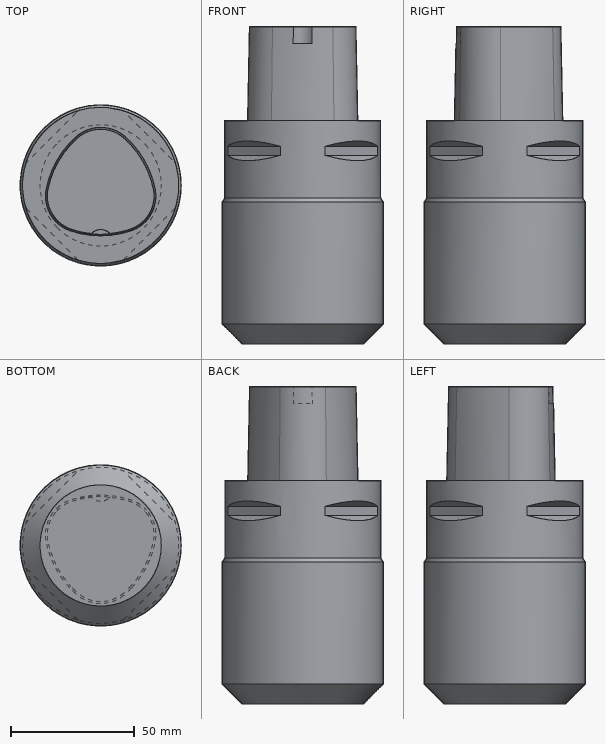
import cadquery as cq
import math

total_height = 128.0
shank_length = 37.9
collar_top = total_height - shank_length
collar_bottom = 59.0

body_radius = 32.5
collar_radius = 31.5
step_bevel_height = 1.8
bottom_chamfer = 8.0

lobe_reach = 23.4
flank_reach = 20.4
join_reach = 22.1
join_angle = 25.3
lobe_count = 3
lobe_pitch = 360 / lobe_count
taper_inset = 0.8

notch_radius = 5.1
notch_depth = 6.8
notch_floor_y = -17.8

slot_count = 4
slot_center_height = 78.0
slot_floor_height = 3.6
slot_depth = 3.78
slot_wall_angle = 30.0
slot_overrun = 1.3


def polar_point(radius, angle):
    return (radius * math.cos(math.radians(angle)), radius * math.sin(math.radians(angle)))


def make_body():
    """Round body with a bottom chamfer and a narrower collar."""
    profile = [
        (0, 0),
        (body_radius - bottom_chamfer, 0),
        (body_radius, bottom_chamfer),
        (body_radius, collar_bottom - step_bevel_height),
        (collar_radius, collar_bottom),
        (collar_radius, collar_top),
        (0, collar_top),
    ]
    return cq.Workplane("XZ").polyline(profile).close().revolve(360, (0, 0), (0, 1))


def draw_lobed_outline(plane, inset):
    """Alternate tight lobe arcs and wide flank arcs, with one lobe toward +Y."""
    lobe = lobe_reach - inset
    flank = flank_reach - inset
    join = join_reach - inset
    first_lobe_angle = 90
    outline = plane.moveTo(*polar_point(join, first_lobe_angle - join_angle))
    for index in range(lobe_count):
        angle = first_lobe_angle + index * lobe_pitch
        outline = outline.threePointArc(
            polar_point(lobe, angle),
            polar_point(join, angle + join_angle),
        )
        outline = outline.threePointArc(
            polar_point(flank, angle + lobe_pitch / 2),
            polar_point(join, angle + lobe_pitch - join_angle),
        )
    return outline.close()


def make_shank():
    base = draw_lobed_outline(cq.Workplane("XY").workplane(offset=collar_top), 0)
    top_plane = base.workplane(offset=shank_length)
    return draw_lobed_outline(top_plane, taper_inset).loft(ruled=True, combine=True)


def make_notch():
    """Upright cylinder that cuts into the flank facing -Y."""
    return (
        cq.Workplane("XY")
        .workplane(offset=total_height - notch_depth)
        .center(0, notch_floor_y - notch_radius)
        .circle(notch_radius)
        .extrude(notch_depth)
    )


def make_slot(angle):
    """Straight slot across the collar whose side walls flare outward."""
    floor_x = collar_radius - slot_depth
    outer_x = collar_radius + slot_overrun
    floor_half = slot_floor_height / 2
    flare = (outer_x - floor_x) * math.tan(math.radians(slot_wall_angle))
    outer_half = floor_half + flare
    section = [
        (floor_x, slot_center_height - floor_half),
        (outer_x, slot_center_height - outer_half),
        (outer_x, slot_center_height + outer_half),
        (floor_x, slot_center_height + floor_half),
    ]
    slot = cq.Workplane("XZ").polyline(section).close().extrude(collar_radius, both=True)
    return slot.rotate((0, 0, 0), (0, 0, 1), angle)


result = make_body().union(make_shank()).cut(make_notch())
slot_pitch = 360 / slot_count
for slot_index in range(slot_count):
    result = result.cut(make_slot((slot_index + 0.5) * slot_pitch))